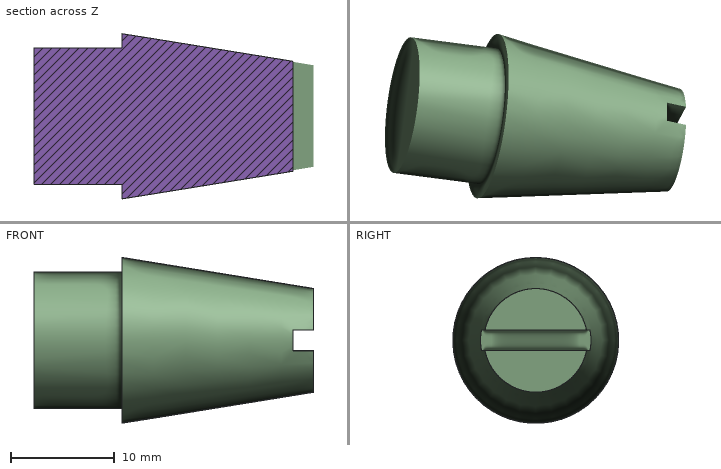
import cadquery as cq

shank_diameter = 13.2
shank_length = 8.5
cone_large_diameter = 16.0
cone_small_diameter = 10.0
total_length = 27.0
slot_width = 2.0
slot_depth = 2.0


def make_body():
    """Cylindrical shank with a shoulder and a tapered nose, turned about X."""
    profile = (
        cq.Workplane("XZ")
        .moveTo(0, 0)
        .lineTo(0, shank_diameter / 2)
        .lineTo(shank_length, shank_diameter / 2)
        .lineTo(shank_length, cone_large_diameter / 2)
        .lineTo(total_length, cone_small_diameter / 2)
        .lineTo(total_length, 0)
        .close()
    )
    return profile.revolve(360, (0, 0, 0), (1, 0, 0))


def make_slot():
    """Straight slot across the nose along Y, open at the small end."""
    slot_center_x = total_length - slot_depth / 2
    slot_block = cq.Workplane("XY").box(slot_depth, cone_large_diameter, slot_width)
    return slot_block.translate((slot_center_x, 0, 0))


result = make_body().cut(make_slot())